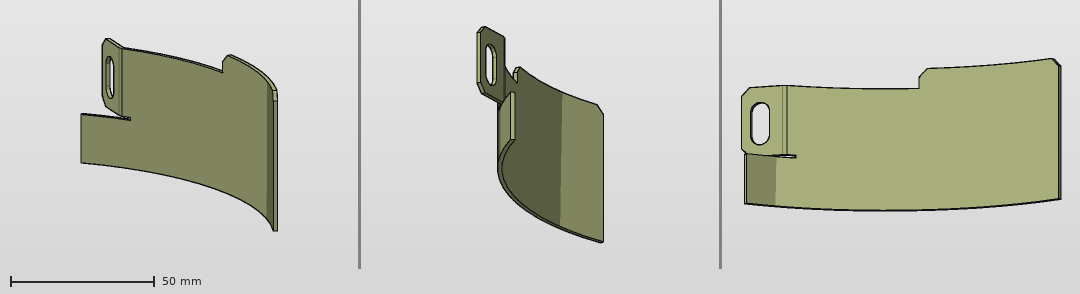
import cadquery as cq
import math

thickness = 1.5
outer_radius = 98.5
inner_radius = outer_radius - thickness
axis_x = 79.3
axis_y = -outer_radius
left_angle = -49.4
bend_angle = -40.2
slit_angle = -38.3
step_angle = -12.7
right_angle = 18.7

lower_height = 17.5
slit_height = 1.0
main_height = 43.0
raised_height = 50.0
corner_chamfer = 3.0

tab_back_y = -23.4
tab_front_y = tab_back_y - thickness
tab_bottom = lower_height + slit_height
slot_x = 6.9
slot_center_z = 30.0
slot_width = 7.0
slot_length = 15.0
tab_length = 15.1


def arc_point(radius, angle):
    turn = math.radians(angle)
    return (axis_x + radius * math.sin(turn), axis_y + radius * math.cos(turn))


def wall_segment(start, end, bottom, top):
    """Part of the curved wall with radial end faces."""
    middle = (start + end) / 2
    return (
        cq.Workplane("XY", origin=(0, 0, bottom))
        .moveTo(*arc_point(outer_radius, start))
        .threePointArc(arc_point(outer_radius, middle), arc_point(outer_radius, end))
        .lineTo(*arc_point(inner_radius, end))
        .threePointArc(arc_point(inner_radius, middle), arc_point(inner_radius, start))
        .close()
        .extrude(top - bottom)
    )


def corner_cutter(angle, inward):
    """Radial triangular prism at a top wall corner; inward is +1 for clockwise."""
    turn = math.radians(angle)
    x, y = arc_point(outer_radius, angle)
    plane = cq.Plane(
        origin=(x, y, raised_height),
        xDir=(math.cos(turn), -math.sin(turn), 0),
        normal=(math.sin(turn), math.cos(turn), 0),
    )
    reach = 2 * corner_chamfer
    return (
        cq.Workplane(plane)
        .polyline([
            (inward * reach, -corner_chamfer),
            (-inward * corner_chamfer, reach),
            (-inward * corner_chamfer, -corner_chamfer),
        ])
        .close()
        .extrude(2 * thickness, both=True)
    )


def mounting_tab():
    tab = (
        cq.Workplane("XY")
        .box(tab_length, thickness, main_height - tab_bottom, centered=False)
        .translate((0, tab_front_y, tab_bottom))
        .edges("|Y and <X")
        .chamfer(corner_chamfer)
    )
    slot = (
        cq.Workplane("XZ", origin=(slot_x, tab_back_y, slot_center_z))
        .slot2D(slot_length, slot_width, 90)
        .extrude(thickness)
    )
    return tab.cut(slot)


def bend():
    """Short block joining the flat tab to the radial end of the upper wall."""
    return (
        cq.Workplane("XY", origin=(0, 0, tab_bottom))
        .polyline([
            (tab_length, tab_front_y),
            arc_point(inner_radius, bend_angle),
            arc_point(outer_radius, bend_angle),
            (tab_length, tab_back_y),
        ])
        .close()
        .extrude(main_height - tab_bottom)
    )


wall = wall_segment(left_angle, right_angle, 0, lower_height)
wall = wall.union(wall_segment(slit_angle, right_angle, lower_height, tab_bottom))
wall = wall.union(wall_segment(bend_angle, right_angle, tab_bottom, main_height))
wall = wall.union(wall_segment(step_angle, right_angle, main_height, raised_height))
wall = wall.cut(corner_cutter(step_angle, 1)).cut(corner_cutter(right_angle, -1))

result = wall.union(bend()).union(mounting_tab())